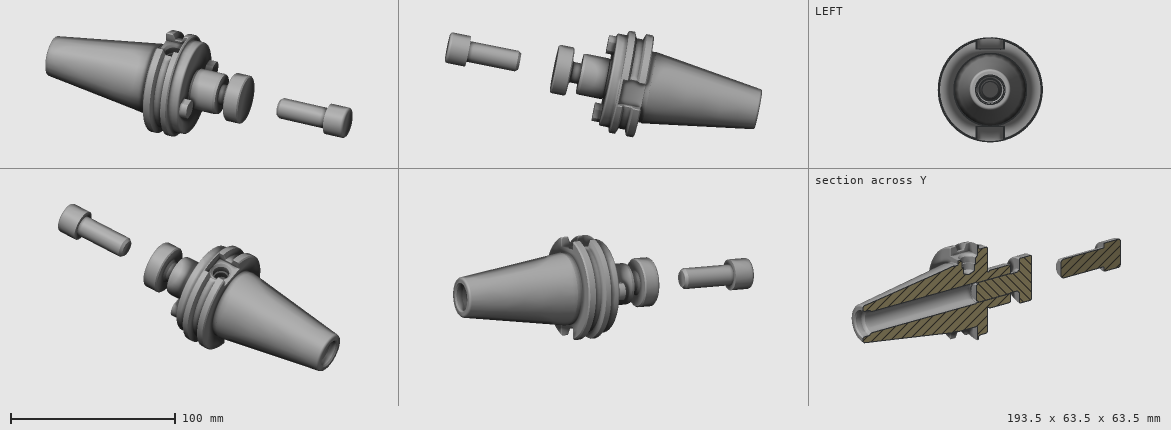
import cadquery as cq
import math


taper_length = 68.3
gauge_dia = 44.5
collar_dia = 44.0
taper_ratio = 7 / 24
taper_end_dia = gauge_dia - taper_ratio * taper_length
taper_end_round = 1.5

flange_rear_x = 71.5
flange_front_x = 87.1
flange_dia = 63.5
flange_chamfer = 0.8
flange_root_round = 0.4
groove_center_x = 79.5
groove_floor_dia = 56.1
groove_floor_width = 4.0
groove_mouth_width = 7.0

boss_dia = 57.3
boss_front_x = 93.7
boss_round = 1.2
boss_root_round = 1.2
neck_dia = 23.8
neck_length = 1.0
spigot_dia = 25.4
spigot_step = 0.5
spigot_front_x = 111.1
spigot_lead_length = 1.5
spigot_lead_depth = 0.4

bore_mouth_dia = 18.0
bore_mouth_depth = 1.0
pilot_bore_dia = 16.5
pilot_bore_depth = 4.8
rear_bore_dia = 13.7
rear_bore_cone_end = 6.5

keyway_width = 16.0
keyway_end_x = 86.0
top_keyway_floor = 24.8
bottom_keyway_floor = 22.5
keyway_edge_chamfer = 0.5

hole_mouth_dia = 12.8
hole_dia = 10.0
hole_depth = 5.5
hole_pilot_dia = 8.0
hole_pilot_depth = 9.7
drill_point_angle = 140

pin_dia = 11.5
pin_flats = 10.0
pin_length = 4.6
pin_offset = 21.5

thread_dia = 12.8
thread_tip_dia = 10.0
thread_tip_length = 1.7

clamp_tip_x = 85.2
clamp_head_x = 117.3
clamp_head_dia = 30.0
clamp_head_length = 9.7
clamp_head_chamfer = 0.8
clamp_collar_dia = 15.3
clamp_collar_length = 1.4

cap_tip_x = 148.6
cap_head_x = 180.8
cap_end_x = 193.5
cap_head_dia = 19.0
cap_head_round = 1.7


def revolve_about_x(outline):
    """Turn a closed outline, drawn as (x, radius), about the X axis."""
    return outline.close().revolve(360, (0, 0, 0), (1, 0, 0))


def holder_blank():
    end_radius = taper_end_dia / 2
    gauge_radius = gauge_dia / 2
    collar_radius = collar_dia / 2
    rim_radius = flange_dia / 2
    groove_radius = groove_floor_dia / 2
    boss_radius = boss_dia / 2
    neck_radius = neck_dia / 2
    spigot_radius = spigot_dia / 2
    neck_end_x = boss_front_x + neck_length
    outline = (
        cq.Workplane("XY")
        .moveTo(0, 0)
        .lineTo(0, end_radius)
        .lineTo(taper_length, gauge_radius)
        .lineTo(taper_length, collar_radius)
        .lineTo(flange_rear_x - flange_root_round, collar_radius)
        .radiusArc((flange_rear_x, collar_radius + flange_root_round), -flange_root_round)
        .lineTo(flange_rear_x, rim_radius - flange_chamfer)
        .lineTo(flange_rear_x + flange_chamfer, rim_radius)
        .lineTo(groove_center_x - groove_mouth_width / 2, rim_radius)
        .lineTo(groove_center_x - groove_floor_width / 2, groove_radius)
        .lineTo(groove_center_x + groove_floor_width / 2, groove_radius)
        .lineTo(groove_center_x + groove_mouth_width / 2, rim_radius)
        .lineTo(flange_front_x - flange_chamfer, rim_radius)
        .lineTo(flange_front_x, rim_radius - flange_chamfer)
        .lineTo(flange_front_x, boss_radius + boss_root_round)
        .radiusArc((flange_front_x + boss_root_round, boss_radius), -boss_root_round)
        .lineTo(boss_front_x - boss_round, boss_radius)
        .radiusArc((boss_front_x, boss_radius - boss_round), boss_round)
        .lineTo(boss_front_x, neck_radius)
        .lineTo(neck_end_x, neck_radius)
        .lineTo(neck_end_x + spigot_step, spigot_radius)
        .lineTo(spigot_front_x - spigot_lead_length, spigot_radius)
        .lineTo(spigot_front_x, spigot_radius - spigot_lead_depth)
        .lineTo(spigot_front_x, 0)
    )
    return revolve_about_x(outline).faces("<X").edges().fillet(taper_end_round)


def axial_bore():
    """Stepped bore that narrows to the thread of the clamping screw."""
    outline = (
        cq.Workplane("XY")
        .moveTo(0, 0)
        .lineTo(0, bore_mouth_dia / 2)
        .lineTo(bore_mouth_depth, pilot_bore_dia / 2)
        .lineTo(pilot_bore_depth, pilot_bore_dia / 2)
        .lineTo(rear_bore_cone_end, rear_bore_dia / 2)
        .lineTo(clamp_tip_x, rear_bore_dia / 2)
        .lineTo(clamp_tip_x, thread_dia / 2)
        .lineTo(spigot_front_x, thread_dia / 2)
        .lineTo(spigot_front_x, 0)
    )
    return revolve_about_x(outline)


def keyway(floor):
    """Slot open to the rear and outward on +Z."""
    length = keyway_end_x - flange_rear_x
    slot = cq.Workplane("XY").box(length, keyway_width, flange_dia, centered=(False, True, False))
    return slot.translate((flange_rear_x, 0, floor))


def chamfer_keyway_sides(holder):
    """Break the outer edges of the four side walls, but not those at the floors and ends."""
    half_width = keyway_width / 2
    margin = 0.02
    floors = (top_keyway_floor, -bottom_keyway_floor)
    edges = []
    for edge in holder.edges().vals():
        box = edge.BoundingBox()
        on_wall = box.ylen < margin and abs(abs(box.center.y) - half_width) < margin
        on_floor = box.zlen < margin and any(abs(box.center.z - floor) < margin for floor in floors)
        on_end = box.xmin > keyway_end_x - margin
        if on_wall and not on_floor and not on_end:
            edges.append(edge)
    return holder.newObject(edges).chamfer(keyway_edge_chamfer)


def keyway_hole():
    """Countersunk, stepped blind hole with a drill point, on the Z direction."""
    countersink_depth = (hole_mouth_dia - hole_dia) / 2
    point_depth = hole_pilot_dia / 2 / math.tan(math.radians(drill_point_angle / 2))
    outline = (
        cq.Workplane("XZ", origin=(groove_center_x, 0, top_keyway_floor))
        .moveTo(0, 0)
        .lineTo(hole_mouth_dia / 2, 0)
        .lineTo(hole_dia / 2, -countersink_depth)
        .lineTo(hole_dia / 2, -hole_depth)
        .lineTo(hole_pilot_dia / 2, -hole_depth)
        .lineTo(hole_pilot_dia / 2, -hole_pilot_depth)
        .lineTo(0, -hole_pilot_depth - point_depth)
        .close()
    )
    return outline.revolve(360, (0, 0, 0), (0, 1, 0))


def make_holder():
    bottom_keyway = keyway(bottom_keyway_floor).rotate((0, 0, 0), (1, 0, 0), 180)
    blank = holder_blank().cut(keyway(top_keyway_floor)).cut(bottom_keyway)
    return chamfer_keyway_sides(blank).cut(axial_bore()).cut(keyway_hole())


def make_drive_pin(y):
    """Round pin with flats on top and bottom, standing on the boss face."""
    face = cq.Workplane("YZ", origin=(boss_front_x, y, 0))
    flats = face.rect(pin_dia, pin_flats).extrude(pin_length)
    return face.circle(pin_dia / 2).extrude(pin_length).intersect(flats)


def screw_shank(tip_x, head_x):
    """Outline of a shank with a chamfered tip, from the axis to the head."""
    return (
        cq.Workplane("XY")
        .moveTo(tip_x, 0)
        .lineTo(tip_x, thread_tip_dia / 2)
        .lineTo(tip_x + thread_tip_length, thread_dia / 2)
        .lineTo(head_x, thread_dia / 2)
    )


def make_clamp_screw():
    head_end_x = clamp_head_x + clamp_head_length
    head_radius = clamp_head_dia / 2
    outline = (
        screw_shank(clamp_tip_x, clamp_head_x - clamp_collar_length)
        .lineTo(clamp_head_x, clamp_collar_dia / 2)
        .lineTo(clamp_head_x, head_radius - clamp_head_chamfer)
        .lineTo(clamp_head_x + clamp_head_chamfer, head_radius)
        .lineTo(head_end_x - clamp_head_chamfer, head_radius)
        .lineTo(head_end_x, head_radius - clamp_head_chamfer)
        .lineTo(head_end_x, 0)
    )
    return revolve_about_x(outline)


def make_cap_screw():
    head_radius = cap_head_dia / 2
    outline = (
        screw_shank(cap_tip_x, cap_head_x)
        .lineTo(cap_head_x, head_radius)
        .lineTo(cap_end_x - cap_head_round, head_radius)
        .radiusArc((cap_end_x, head_radius - cap_head_round), cap_head_round)
        .lineTo(cap_end_x, 0)
    )
    return revolve_about_x(outline)


holder = make_holder()
drive_pins = [make_drive_pin(side * pin_offset) for side in (-1, 1)]
clamp_screw = make_clamp_screw()
cap_screw = make_cap_screw()

result = cq.Compound.makeCompound(
    [
        holder.val(),
        *[pin.val() for pin in drive_pins],
        clamp_screw.val(),
        cap_screw.val(),
    ]
)